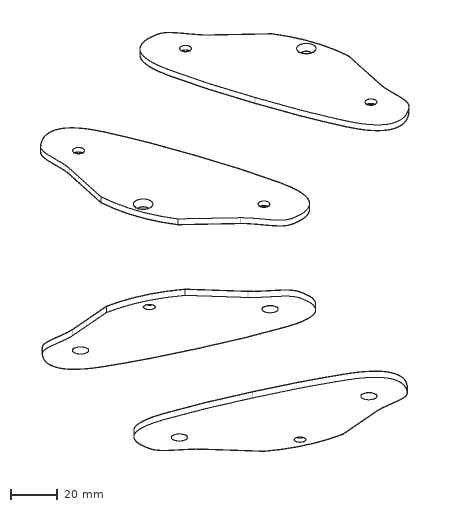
import cadquery as cq

THICKNESS = 3.0
LENGTH = 128.8
OUTER_Y = 79.3
INNER_Y = 27.1

CROWN_HALF_WIDTH = 19.0
CROWN_END_Y = 76.8
SHOULDER_X = 42.4
SHOULDER_Y = 62.8
LOBE_TIP_Y = 44.4
LOBE_OUTER_POINTS = [(49.8, 59.6), (57.5, 56.8), (60.9, 54.4), (63.3, 49.8)]
LOBE_INNER_POINTS = [(62.3, 37.1), (55.2, 31.9), (40.5, 28.9), (19.8, 27.5)]

HOLE_DIAMETER = 5.0
SIDE_HOLE_X = 45.8
SIDE_HOLE_Y = 48.0
CROWN_HOLE_Y = 73.3
CROWN_SINK_DIAMETER = 8.4
SIDE_SINK_DIAMETER = 7.0


def mirrored(points):
    """Reflect points to the -X side, reversing their order."""
    return [(-x, y) for x, y in reversed(points)]


def plate_blank():
    """Solid plate on the +Y side, without holes."""
    lobe = [
        *LOBE_OUTER_POINTS,
        (LENGTH / 2, LOBE_TIP_Y),
        *LOBE_INNER_POINTS,
        (0, INNER_Y),
    ]
    shoulder_slope = (SHOULDER_X - CROWN_HALF_WIDTH, SHOULDER_Y - CROWN_END_Y)
    return_slope = (shoulder_slope[0], -shoulder_slope[1])
    inner_edge_direction = (-1, 0)
    left_lobe = mirrored(lobe)[1:] + [(-SHOULDER_X, SHOULDER_Y)]
    return (
        cq.Workplane("XY")
        .moveTo(-CROWN_HALF_WIDTH, CROWN_END_Y)
        .threePointArc((0, OUTER_Y), (CROWN_HALF_WIDTH, CROWN_END_Y))
        .lineTo(SHOULDER_X, SHOULDER_Y)
        .spline(lobe, tangents=[shoulder_slope, inner_edge_direction], includeCurrent=True)
        .spline(left_lobe, tangents=[inner_edge_direction, return_slope], includeCurrent=True)
        .close()
        .extrude(THICKNESS)
    )


def conical_hole(x, y, bottom_diameter, top_diameter):
    """Tapered through-hole cutter standing at (x, y)."""
    return (
        cq.Workplane("XY")
        .center(x, y)
        .circle(bottom_diameter / 2)
        .workplane(offset=THICKNESS)
        .circle(top_diameter / 2)
        .loft(ruled=True)
    )


def make_plate():
    """Plate with a hole tapered from above near its crown and two side holes tapered from below."""
    plate = plate_blank().cut(conical_hole(0, CROWN_HOLE_Y, HOLE_DIAMETER, CROWN_SINK_DIAMETER))
    for x in (-SIDE_HOLE_X, SIDE_HOLE_X):
        plate = plate.cut(conical_hole(x, SIDE_HOLE_Y, SIDE_SINK_DIAMETER, HOLE_DIAMETER))
    return plate


PLATE_TURNS = (0, 180)
plates = [make_plate().rotate((0, 0, 0), (0, 0, 1), turn) for turn in PLATE_TURNS]

result = cq.Compound.makeCompound([plate.val() for plate in plates])